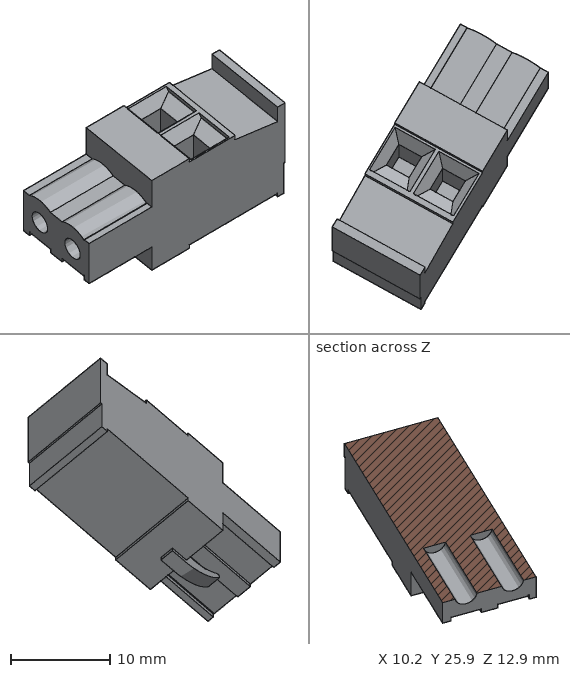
import cadquery as cq
import math

width = 10.2
length = 25.9
top = 12.87
pole_pitch = 5.08
pole_count = 2

housing_front = 8.3
housing_bottom = 0.47
step_height = 0.47
cap_back = 13.29
deck_back = 19.3
deck_top = top - step_height
ramp_high = 11.8
ramp_low = 10.88
lip_thickness = 0.98
lip_front = length - lip_thickness
lower_back = 25.72
back_step_height = 4.64

plug_bottom = 3.68
plug_top = 9.22
crown_height = 0.47
crown_radius = 3.08
first_crown_x = 2.56
crown_left = 1.63
last_crown_right = 1.8
groove_left = 0.93
groove_width = 3.3
last_groove_width = 3.45
groove_height = 0.47
relief_size = 0.1
pin_hole_radius = 1.2
pin_hole_height = 6.65
pin_hole_depth = housing_front

funnel_left = 0.25
funnel_width = 4.65
funnel_front = 13.55
funnel_back = 18.67
funnel_back_unclipped = 19.48
funnel_depth = 1.35
shaft_inset = 1.0
shaft_front = 14.55
shaft_back = 17.07
shaft_depth = 5.7

latch_left = 5.13
latch_width = 1.6
latch_back = 10.3
latch_bend_start = 8.1
latch_root_top = 1.7
latch_outer_middle = (5.28, 0.9)
latch_tip_lower = (3.55, 2.4)
latch_tip_middle = (3.6, 2.75)
latch_tip_upper = (4.0, 2.75)
latch_inner_middle = (5.75, 1.85)


def block(x, y, z):
    """Box given by its (start, end) along each axis."""
    size = (x[1] - x[0], y[1] - y[0], z[1] - z[0])
    return cq.Workplane("XY").box(*size, centered=False).translate((x[0], y[0], z[0]))


def rectangle(x, y, z):
    """Horizontal rectangular wire at height z."""
    corners = [(x[0], y[0], z), (x[1], y[0], z), (x[1], y[1], z), (x[0], y[1], z)]
    return cq.Wire.makePolygon([cq.Vector(*corner) for corner in corners], close=True)


def make_housing():
    foot_top = housing_bottom + step_height
    return (
        cq.Workplane("YZ")
        .moveTo(housing_front, housing_bottom)
        .lineTo(housing_front, top)
        .lineTo(cap_back, top)
        .lineTo(cap_back, deck_top)
        .lineTo(deck_back, deck_top)
        .lineTo(deck_back, ramp_high)
        .lineTo(lip_front, ramp_low)
        .lineTo(lip_front, top)
        .lineTo(length, top)
        .lineTo(length, back_step_height)
        .lineTo(lower_back, back_step_height)
        .lineTo(lower_back, housing_bottom)
        .lineTo(lip_front, housing_bottom)
        .lineTo(lip_front, foot_top)
        .lineTo(cap_back, foot_top)
        .lineTo(cap_back, housing_bottom)
        .close()
        .extrude(width)
    )


def crown_z(offset):
    """Height of the crown arc at a sideways offset from its centre."""
    centre_z = plug_top + crown_height - crown_radius
    return centre_z + math.sqrt(crown_radius**2 - offset**2)


def make_plug():
    outline = cq.Workplane("XZ").moveTo(0, plug_bottom).lineTo(0, plug_top)
    for pole in range(pole_count):
        centre = first_crown_x + pole * pole_pitch
        is_last = pole == pole_count - 1
        right = last_crown_right if is_last else crown_left
        outline = (
            outline.lineTo(centre - crown_left, plug_top)
            .lineTo(centre - crown_left, crown_z(crown_left))
            .threePointArc((centre, crown_z(0)), (centre + right, crown_z(right)))
            .lineTo(centre + right, plug_top)
        )
    outline = outline.lineTo(width, plug_top).lineTo(width, plug_bottom).close()
    plug = outline.extrude(-housing_front)

    plug_span = (0, housing_front)
    groove_top = plug_bottom + groove_height
    for pole in range(pole_count):
        left = groove_left + pole * pole_pitch
        is_last = pole == pole_count - 1
        right = left + (last_groove_width if is_last else groove_width)
        plug = plug.cut(block((left, right), plug_span, (plug_bottom, groove_top)))
        if is_last:
            relief_top = groove_top + relief_size
            plug = plug.cut(block((right - relief_size, right), plug_span, (groove_top, relief_top)))
    return plug


def make_pin_hole(pole):
    centre = first_crown_x + pole * pole_pitch
    hole = cq.Workplane("XZ").center(centre, pin_hole_height).circle(pin_hole_radius)
    return hole.extrude(-pin_hole_depth)


def make_funnel(pole):
    """Tapered wire entry with a vertical rim at the back and a straight shaft below."""
    left = funnel_left + pole * pole_pitch
    right = left + funnel_width
    shaft_x = (left + shaft_inset, right - shaft_inset)
    shaft_y = (shaft_front, shaft_back)
    floor = deck_top - shaft_depth
    taper_end = deck_top - funnel_depth
    mouth = rectangle((left, right), (funnel_front, funnel_back_unclipped), deck_top)
    throat = rectangle(shaft_x, shaft_y, taper_end)
    taper = cq.Workplane(cq.Solid.makeLoft([throat, mouth], True))
    taper = taper.intersect(block((left, right), (funnel_front, funnel_back), (floor, top)))
    return taper.union(block(shaft_x, shaft_y, (floor, taper_end)))


def make_latch():
    """Curved snap finger rooted under the front of the housing."""
    return (
        cq.Workplane("YZ", origin=(latch_left, 0, 0))
        .moveTo(latch_back, 0)
        .lineTo(latch_bend_start, 0)
        .threePointArc(latch_outer_middle, latch_tip_lower)
        .threePointArc(latch_tip_middle, latch_tip_upper)
        .threePointArc(latch_inner_middle, (housing_front, latch_root_top))
        .lineTo(latch_back, latch_root_top)
        .close()
        .extrude(latch_width)
    )


result = make_housing().union(make_plug()).union(make_latch())
for pole in range(pole_count):
    result = result.cut(make_pin_hole(pole)).cut(make_funnel(pole))